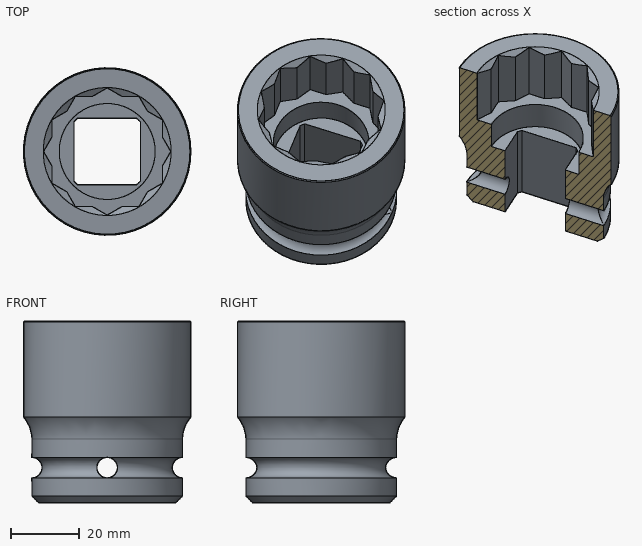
import cadquery as cq
import math

height = 53
body_radius = 24.45
neck_radius = 22.0
rim_chamfer = 0.3
base_chamfer = 2.0
flare_bottom = 18.6
flare_top = 25.0

groove_radius = 2.95
groove_center = 10.3
pin_hole_radius = groove_radius

socket_across_flats = 32.1
socket_floor = 34.0
lead_in_radius = 18.65
lead_in_angle = 30

bore_radius = 14.0
bore_floor = flare_top

drive_side = 19.3
drive_corner_chamfer = 1.0


def make_body():
    flare_height = flare_top - flare_bottom
    flare_width = body_radius - neck_radius
    flare_radius = (flare_height**2 + flare_width**2) / (2 * flare_width)
    half_angle = math.asin(flare_height / flare_radius) / 2
    flare_middle = (
        neck_radius + flare_radius * (1 - math.cos(half_angle)),
        flare_bottom + flare_radius * math.sin(half_angle),
    )
    return (
        cq.Workplane("XZ")
        .moveTo(0, 0)
        .lineTo(neck_radius - base_chamfer, 0)
        .lineTo(neck_radius, base_chamfer)
        .lineTo(neck_radius, groove_center - groove_radius)
        .threePointArc(
            (neck_radius - groove_radius, groove_center),
            (neck_radius, groove_center + groove_radius),
        )
        .lineTo(neck_radius, flare_bottom)
        .threePointArc(flare_middle, (body_radius, flare_top))
        .lineTo(body_radius, height - rim_chamfer)
        .lineTo(body_radius - rim_chamfer, height)
        .lineTo(0, height)
        .close()
        .revolve(360, (0, 0, 0), (0, 1, 0))
    )


def make_socket():
    corner_diameter = socket_across_flats / math.cos(math.radians(30))
    hexagon = (
        cq.Workplane("XY", origin=(0, 0, socket_floor))
        .polygon(6, corner_diameter)
        .extrude(height - socket_floor)
    )
    return hexagon.union(hexagon.rotate((0, 0, 0), (0, 0, 1), 30))


def make_lead_in():
    end_radius = socket_across_flats / 2
    depth = (lead_in_radius - end_radius) * math.tan(math.radians(lead_in_angle))
    cone = cq.Solid.makeCone(end_radius, lead_in_radius, depth, pnt=cq.Vector(0, 0, height - depth))
    return cq.Workplane(cone)


def make_bore():
    return (
        cq.Workplane("XY", origin=(0, 0, bore_floor))
        .circle(bore_radius)
        .extrude(socket_floor - bore_floor)
    )


def make_drive():
    return (
        cq.Workplane("XY")
        .rect(drive_side, drive_side)
        .extrude(bore_floor)
        .edges("|Z")
        .chamfer(drive_corner_chamfer)
    )


def make_pin_hole():
    return (
        cq.Workplane("XZ", origin=(0, 0, groove_center))
        .circle(pin_hole_radius)
        .extrude(body_radius, both=True)
    )


result = (
    make_body()
    .cut(make_socket())
    .cut(make_lead_in())
    .cut(make_bore())
    .cut(make_drive())
    .cut(make_pin_hole())
)